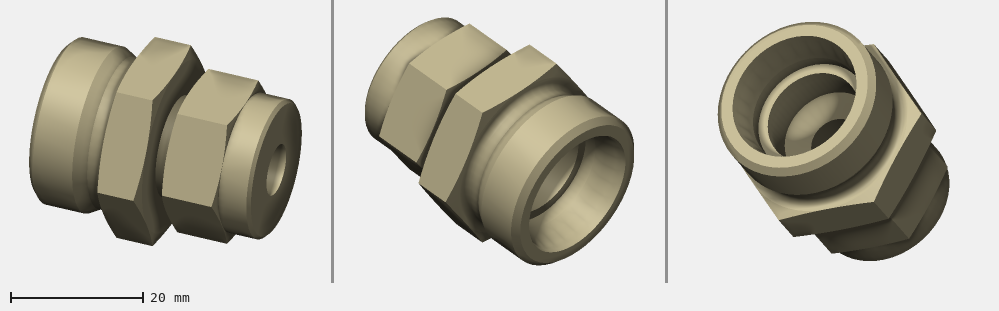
import cadquery as cq
import math

THREAD_END = 7.42
RELIEF_START = 9.4
BODY_HEX_START = 12.0
BODY_HEX_END = 19.0
NUT_START = 21.45
NUT_END = 30.45
LENGTH = 35.5

THREAD_RADIUS = 13.0
THREAD_CHAMFER = 1.0
RELIEF_RADIUS = 11.85
RELIEF_FILLET = 1.05
BODY_HEX_FLATS = 27.0
NECK_RADIUS = 8.0
NUT_FLATS = 21.97
COLLAR_RADIUS = 10.9
COLLAR_CHAMFER = 0.55
HEX_SIDES = 6
HEX_CHAMFER_ANGLE = 15

MOUTH_RADIUS = 10.15
SOCKET_RADIUS = 9.0
SEAT_HALF_ANGLE = 12
SOCKET_DEPTH = 7.5
INNER_BORE_RADIUS = 7.5
INNER_BORE_END = 14.2
THROUGH_BORE_RADIUS = 4.0
FUNNEL_HALF_ANGLE = 59


def revolve_about_x(profile):
    """Turn a closed (x, radius) sketch around the X axis."""
    return profile.close().revolve(360, (0, 0, 0), (1, 0, 0))


def chamfered_hex(start, end, flats):
    """Hexagon with corners on +Y and -Y, its corners turned down conically at both ends."""
    flat_radius = flats / 2
    corner_radius = flat_radius / math.cos(math.pi / HEX_SIDES)
    setback = (corner_radius - flat_radius) * math.tan(math.radians(HEX_CHAMFER_ANGLE))
    prism = (
        cq.Workplane("YZ", origin=(start, 0, 0))
        .polygon(HEX_SIDES, 2 * corner_radius)
        .extrude(end - start)
    )
    envelope = revolve_about_x(
        cq.Workplane("XY")
        .moveTo(start, 0)
        .lineTo(start, flat_radius)
        .lineTo(start + setback, corner_radius)
        .lineTo(end - setback, corner_radius)
        .lineTo(end, flat_radius)
        .lineTo(end, 0)
    )
    return prism.intersect(envelope)


def threaded_end():
    """Threaded stub with a relief groove that is filleted into the body hexagon."""
    fillet_start = BODY_HEX_START - RELIEF_FILLET
    return revolve_about_x(
        cq.Workplane("XY")
        .lineTo(0, THREAD_RADIUS - THREAD_CHAMFER)
        .lineTo(THREAD_CHAMFER, THREAD_RADIUS)
        .lineTo(THREAD_END, THREAD_RADIUS)
        .lineTo(RELIEF_START, RELIEF_RADIUS)
        .lineTo(fillet_start, RELIEF_RADIUS)
        .radiusArc((BODY_HEX_START, RELIEF_RADIUS + RELIEF_FILLET), -RELIEF_FILLET)
        .lineTo(BODY_HEX_START, 0)
    )


def neck():
    """Round neck between the body hexagon and the nut."""
    return (
        cq.Workplane("YZ", origin=(BODY_HEX_END, 0, 0))
        .circle(NECK_RADIUS)
        .extrude(NUT_START - BODY_HEX_END)
    )


def collar():
    """Round collar behind the nut, chamfered at its free end."""
    return (
        cq.Workplane("YZ", origin=(NUT_END, 0, 0))
        .circle(COLLAR_RADIUS)
        .extrude(LENGTH - NUT_END)
        .faces(">X")
        .chamfer(COLLAR_CHAMFER)
    )


def passage():
    """Tapered seat, tube socket, inner bore, conical drill bottom and through bore."""
    seat_depth = (MOUTH_RADIUS - SOCKET_RADIUS) / math.tan(math.radians(SEAT_HALF_ANGLE))
    funnel_drop = INNER_BORE_RADIUS - THROUGH_BORE_RADIUS
    funnel_length = funnel_drop / math.tan(math.radians(FUNNEL_HALF_ANGLE))
    return revolve_about_x(
        cq.Workplane("XY")
        .lineTo(0, MOUTH_RADIUS)
        .lineTo(seat_depth, SOCKET_RADIUS)
        .lineTo(SOCKET_DEPTH, SOCKET_RADIUS)
        .lineTo(SOCKET_DEPTH, INNER_BORE_RADIUS)
        .lineTo(INNER_BORE_END, INNER_BORE_RADIUS)
        .lineTo(INNER_BORE_END + funnel_length, THROUGH_BORE_RADIUS)
        .lineTo(LENGTH, THROUGH_BORE_RADIUS)
        .lineTo(LENGTH, 0)
    )


body_hex = chamfered_hex(BODY_HEX_START, BODY_HEX_END, BODY_HEX_FLATS)
nut_hex = chamfered_hex(NUT_START, NUT_END, NUT_FLATS)
outside = threaded_end().union(body_hex).union(neck()).union(nut_hex).union(collar())
result = outside.cut(passage())